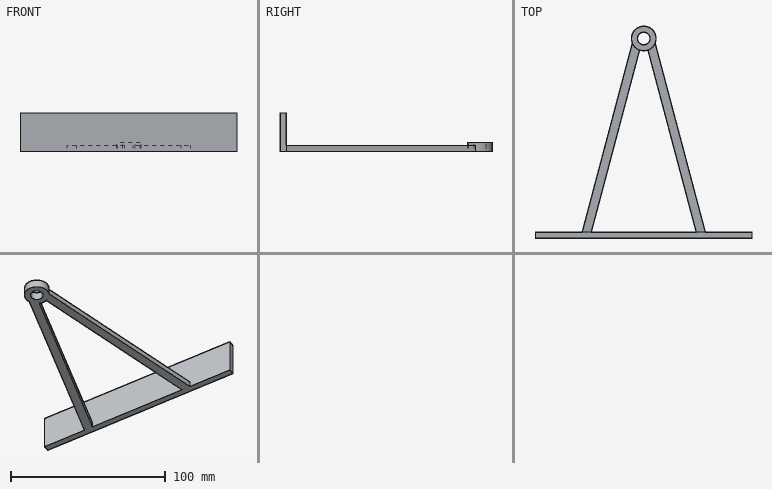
import cadquery as cq

plate_length = 140.0
plate_thickness = 4.0
plate_height = 25.0

overall_depth = 137.0
ring_diameter = 16.0
bore_diameter = 8.0
ring_height = 6.0
ring_y = overall_depth - ring_diameter / 2

arm_height = 4.0
arm_width_along_x = 6.0
arm_foot_x = 36.8
arm_apex_x = 3.6


def make_arm(side):
    """Flat bar from the plate's rear face to the ring's centre; side is -1 or 1."""
    half_width = arm_width_along_x / 2
    foot_x = side * arm_foot_x
    apex_x = side * arm_apex_x
    return (
        cq.Workplane("XY")
        .moveTo(foot_x - half_width, plate_thickness)
        .lineTo(foot_x + half_width, plate_thickness)
        .lineTo(apex_x + half_width, ring_y)
        .lineTo(apex_x - half_width, ring_y)
        .close()
        .extrude(arm_height)
    )


plate = cq.Workplane("XY").box(
    plate_length, plate_thickness, plate_height, centered=(True, False, False)
)
ring = cq.Workplane("XY").center(0, ring_y).circle(ring_diameter / 2).extrude(ring_height)
bore = cq.Workplane("XY").center(0, ring_y).circle(bore_diameter / 2).extrude(ring_height)

result = plate.union(ring)
for side in (-1, 1):
    result = result.union(make_arm(side))
result = result.cut(bore)